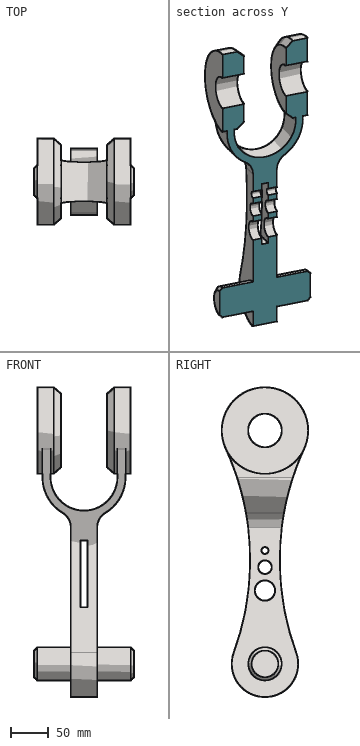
import cadquery as cq
import math

EYE_HEIGHT = 311.15
EYE_RADIUS = 115.57 / 2
EYE_BORE_DIAMETER = 44.45
EYE_OUTER_X = 62.23
EYE_INNER_X = 30.35
EYE_BEVEL_LENGTH = 10.16
EYE_BEVEL_DEPTH = 8.89

FOOT_RADIUS = 44.45
FLANK_RADIUS = 355.6

SHANK_THICKNESS = 35.56
FORK_CENTER_HEIGHT = 248.92
FORK_INNER_RADIUS = 44.45
FORK_OUTER_RADIUS = 55.5625
CROTCH_RADIUS = 22.225

PIN_DIAMETER = 44.45
PIN_LENGTH = 133.35
PIN_CHAMFER = 4.445

SLOT_WIDTH = 8.89
SLOT_BOTTOM = 75.565
SLOT_LENGTH = 88.9

SHANK_HOLES = [(151.13, 8.89), (128.905, 17.78), (97.79, 26.67)]


def cylinder_along_x(diameter, length, height):
    """Cylinder on an X axis at the given height, centred on X = 0."""
    return cq.Workplane("YZ").center(0, height).circle(diameter / 2).extrude(length / 2, both=True)


def make_side_profile():
    """Waisted outline in YZ: round foot, concave flanks, flat top inside the eye discs."""
    foot_distance = FOOT_RADIUS + FLANK_RADIUS
    eye_distance = EYE_RADIUS + FLANK_RADIUS
    flank_z = (foot_distance**2 - eye_distance**2 + EYE_HEIGHT**2) / (2 * EYE_HEIGHT)
    flank_y = math.sqrt(foot_distance**2 - flank_z**2)

    foot_y = flank_y * FOOT_RADIUS / foot_distance
    foot_z = flank_z * FOOT_RADIUS / foot_distance
    eye_y = flank_y * EYE_RADIUS / eye_distance
    eye_z = EYE_HEIGHT + (flank_z - EYE_HEIGHT) * EYE_RADIUS / eye_distance
    waist_y = flank_y - FLANK_RADIUS

    return (
        cq.Workplane("YZ")
        .moveTo(foot_y, foot_z)
        .threePointArc((waist_y, flank_z), (eye_y, eye_z))
        .lineTo(-eye_y, eye_z)
        .threePointArc((-waist_y, flank_z), (-foot_y, foot_z))
        .threePointArc((0, -FOOT_RADIUS), (foot_y, foot_z))
        .close()
        .extrude(EYE_OUTER_X, both=True)
    )


def make_fork_profile():
    """Y-shaped outline in XZ: shank, blended crotch and two parallel arms."""
    half_shank = SHANK_THICKNESS / 2
    profile_bottom = -2 * FOOT_RADIUS
    blend_x = half_shank + CROTCH_RADIUS
    blend_distance = FORK_OUTER_RADIUS + CROTCH_RADIUS
    blend_drop = math.sqrt(blend_distance**2 - blend_x**2)
    blend_z = FORK_CENTER_HEIGHT - blend_drop

    end_angle = math.atan2(blend_drop, -blend_x)
    middle_angle = (end_angle + math.pi) / 2
    middle_x = blend_x + CROTCH_RADIUS * math.cos(middle_angle)
    middle_z = blend_z + CROTCH_RADIUS * math.sin(middle_angle)
    end_x = blend_x + CROTCH_RADIUS * math.cos(end_angle)
    end_z = blend_z + CROTCH_RADIUS * math.sin(end_angle)

    outer_angle = (end_angle - math.pi) / 2
    outer_x = FORK_OUTER_RADIUS * math.cos(outer_angle)
    outer_z = FORK_CENTER_HEIGHT + FORK_OUTER_RADIUS * math.sin(outer_angle)

    return (
        cq.Workplane("XZ")
        .moveTo(half_shank, profile_bottom)
        .lineTo(half_shank, blend_z)
        .threePointArc((middle_x, middle_z), (end_x, end_z))
        .threePointArc((outer_x, outer_z), (FORK_OUTER_RADIUS, FORK_CENTER_HEIGHT))
        .lineTo(FORK_OUTER_RADIUS, EYE_HEIGHT)
        .lineTo(FORK_INNER_RADIUS, EYE_HEIGHT)
        .lineTo(FORK_INNER_RADIUS, FORK_CENTER_HEIGHT)
        .threePointArc(
            (0, FORK_CENTER_HEIGHT - FORK_INNER_RADIUS),
            (-FORK_INNER_RADIUS, FORK_CENTER_HEIGHT),
        )
        .lineTo(-FORK_INNER_RADIUS, EYE_HEIGHT)
        .lineTo(-FORK_OUTER_RADIUS, EYE_HEIGHT)
        .lineTo(-FORK_OUTER_RADIUS, FORK_CENTER_HEIGHT)
        .threePointArc((-outer_x, outer_z), (-end_x, end_z))
        .threePointArc((-middle_x, middle_z), (-half_shank, blend_z))
        .lineTo(-half_shank, profile_bottom)
        .close()
        .extrude(EYE_RADIUS, both=True)
    )


def make_eye(side):
    """Eye disc with a bevelled inner rim; side is +1 or -1 along X."""
    inner_x = side * EYE_INNER_X
    bevel_x = side * (EYE_INNER_X + EYE_BEVEL_LENGTH)
    outer_x = side * EYE_OUTER_X
    return (
        cq.Workplane("XY", origin=(0, 0, EYE_HEIGHT))
        .moveTo(inner_x, 0)
        .lineTo(inner_x, EYE_RADIUS - EYE_BEVEL_DEPTH)
        .lineTo(bevel_x, EYE_RADIUS)
        .lineTo(outer_x, EYE_RADIUS)
        .lineTo(outer_x, 0)
        .close()
        .revolve(360, (0, 0, 0), (1, 0, 0))
    )


def make_pin():
    """Cross pin with chamfered ends."""
    return cylinder_along_x(PIN_DIAMETER, PIN_LENGTH, 0).faces("<X or >X").chamfer(PIN_CHAMFER)


def make_slot():
    """Narrow slot cutter running through the shank along Y."""
    slot_center_height = SLOT_BOTTOM + SLOT_LENGTH / 2
    slot_depth = 2 * FOOT_RADIUS
    slot_plane = cq.Workplane("XY", origin=(0, 0, slot_center_height))
    return slot_plane.box(SLOT_WIDTH, slot_depth, SLOT_LENGTH)


result = make_side_profile().intersect(make_fork_profile())
for eye_side in (-1, 1):
    result = result.union(make_eye(eye_side))
result = result.union(make_pin())

result = result.cut(cylinder_along_x(EYE_BORE_DIAMETER, 2 * EYE_OUTER_X, EYE_HEIGHT))
result = result.cut(make_slot())
for hole_height, hole_diameter in SHANK_HOLES:
    result = result.cut(cylinder_along_x(hole_diameter, SHANK_THICKNESS, hole_height))